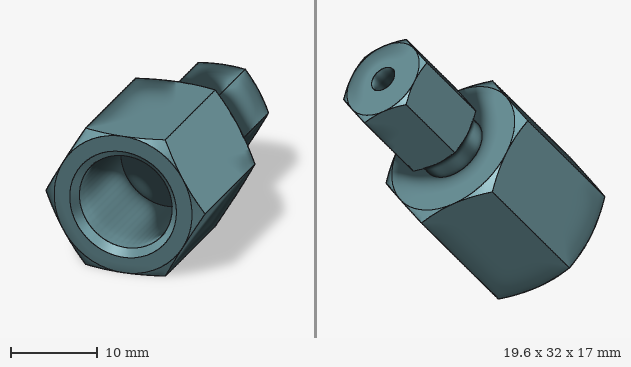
import cadquery as cq
import math

total_length = 32.02
large_flats = 17.0
large_length = 17.48
small_flats = 10.0
small_length = 11.0
neck_diameter = 8.0
bore_diameter = 11.43
bore_depth = 14.1
mouth_diameter = 13.15
mouth_angle = 45.0
through_diameter = 3.2
corner_angle = 30.0

small_start = total_length - small_length
mouth_depth = (mouth_diameter - bore_diameter) / 2 / math.tan(math.radians(mouth_angle))


def cylinder(diameter, start, length):
    """Round bar along +Y, beginning at Y = start."""
    return cq.Workplane("XZ", origin=(0, start, 0)).circle(diameter / 2).extrude(-length)


def chamfered_hex(flats, start, length):
    """Hexagonal bar along +Y with corners on the X axis and conically chamfered ends."""
    corners = flats / math.cos(math.radians(30))
    bar = cq.Workplane("XZ", origin=(0, start, 0)).polygon(6, corners).extrude(-length)
    inner = flats / 2
    outer = corners
    slope_depth = (outer - inner) * math.tan(math.radians(corner_angle))
    end = start + length
    envelope = (
        cq.Workplane("XY")
        .moveTo(0, start)
        .lineTo(inner, start)
        .lineTo(outer, start + slope_depth)
        .lineTo(outer, end - slope_depth)
        .lineTo(inner, end)
        .lineTo(0, end)
        .close()
        .revolve(360, (0, 0, 0), (0, 1, 0))
    )
    return bar.intersect(envelope)


def socket():
    """Flat-bottomed bore with a conical countersink at its mouth."""
    return (
        cq.Workplane("XY")
        .lineTo(mouth_diameter / 2, 0)
        .lineTo(bore_diameter / 2, mouth_depth)
        .lineTo(bore_diameter / 2, bore_depth)
        .lineTo(0, bore_depth)
        .close()
        .revolve(360, (0, 0, 0), (0, 1, 0))
    )


large_hex = chamfered_hex(large_flats, 0, large_length)
neck = cylinder(neck_diameter, large_length, small_start - large_length)
small_hex = chamfered_hex(small_flats, small_start, small_length)
through_hole = cylinder(through_diameter, 0, total_length)

result = large_hex.union(neck).union(small_hex).cut(socket()).cut(through_hole)